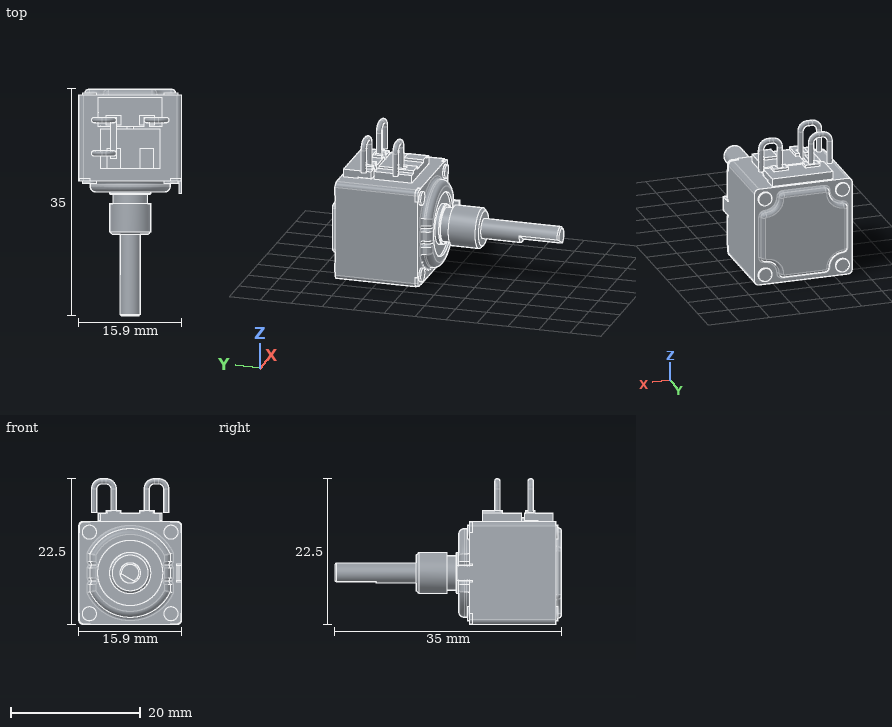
import cadquery as cq
import math


BODY_SIZE = 15.9
BODY_DEPTH = 13.33
BODY_CORNER = 0.75
HALF = BODY_SIZE / 2
CORNER_RECESS = 0.1
CORNER_RECESS_START = 6.23
PLATE_THICK = 0.45

FACE_TOLERANCE = 0.005

RIVET_OFFSET = 6.3
RIVET_RADIUS = 1.1
RIVET_HEIGHT = 0.3

DOME_RADIUS = 6.85
DOME_FLAT_X = 6.2
DOME_HEIGHT = 1.68
DOME_FLARE = 0.5
DOME_EDGE = 0.9
GROOVE_Z = 1.25
GROOVE_WIDTH = 1.0
GROOVE_DEPTH = 0.25
GROOVE_ROOT_X = 4.95
DISC_RADIUS = 5.05
DISC_DEPTH = 0.35

BUSHING_RADIUS = 3.2
NECK_RADIUS = 2.7
COLLAR_END = 2.05
COLLAR_CHAMFER = 0.15
NECK_END = 3.45
BUSHING_END = 8.22
BUSHING_CHAMFER = 0.42
SHAFT_RADIUS = 1.57
SHAFT_END = 20.78
SHAFT_CHAMFER = 0.25
SHAFT_FLAT_LENGTH = 6.35
SHAFT_FLAT_OFFSET = 0.8
SHAFT_FLAT_ANGLE = 30

TAB_WIDTH = 2.27
TAB_THICK = 0.45
TAB_LENGTH = 1.92
TAB_BEND = 0.28
TAB_RELIEF_WIDTH = 0.25
TAB_RELIEF_DEPTH = 0.85

BACK_HALF = 7.0
BACK_HEIGHT = 0.87
BACK_SCALLOP = 2.25
BACK_CORNER = BACK_HALF - RIVET_OFFSET
BACK_EDGE = 0.55
BACK_FLARE = 0.28

BLOCK_HEIGHT = 1.25
REAR_BLOCK_HALF = 4.93
REAR_BLOCK_Y = (8.45, 12.9)
FRONT_BLOCK_HALF = 4.58
FRONT_BLOCK_Y = (2.0, 8.05)
PAD_HEIGHT = 0.42
REAR_PAD_X = (1.4, 3.75)
REAR_PAD_Y = (8.68, 10.15)
FRONT_PAD_X = (1.5, 3.57)
FRONT_PAD_Y = (2.0, 5.07)
PEG_RADIUS = 0.52
UNDERCUT_Y = (8.45, 10.6)
UNDERCUT_HEIGHT = 0.17
UNDERCUT_DEPTH = 0.35

WIRE_RADIUS = 0.42
LOOP_BEND = 1.2
LOOP_SPAN = 3.0
LOOP_X = 4.05
LOOP_TOP = 22.53
LOOP_FREE_END_Z = 9.3
REAR_LOOP_Y = 9.45
FRONT_LOOP_Y = 4.3
SLOT_WIDTH = 0.9
LEFT_SLOT_FLOOR_Z = 8.55
SLOT_FRONT_Y = 3.5

BLOCK_TOP = HALF + BLOCK_HEIGHT
LOOP_INNER_X = LOOP_X - LOOP_SPAN / 2
RIGHT_SLOT_FLOOR_Z = HALF
LOOP_BEND_Z = LOOP_TOP - HALF - WIRE_RADIUS - LOOP_BEND


def box(x, y, z):
    """Box spanning the (low, high) ranges x, y and z."""
    size = (x[1] - x[0], y[1] - y[0], z[1] - z[0])
    return cq.Workplane("XY").box(*size, centered=False).translate((x[0], y[0], z[0]))


def facing_front(y):
    """Sketch plane whose local axes are X and Z and whose normal is -Y."""
    return cq.Workplane("XZ", origin=(0, y, 0))


def edges_at(y, reach):
    """Selector for the edges in the face at y, within reach of the shaft axis along X and Z."""
    low = (-reach, y - FACE_TOLERANCE, -reach)
    high = (reach, y + FACE_TOLERANCE, reach)
    return cq.selectors.BoxSelector(low, high)


def disc(radius, near, far):
    """Cylinder on the shaft axis between two distances in front of the housing."""
    return facing_front(-near).circle(radius).extrude(far - near)


def make_housing():
    body = facing_front(BODY_DEPTH).rect(BODY_SIZE, BODY_SIZE).extrude(BODY_DEPTH)
    body = body.edges("|Y").fillet(BODY_CORNER)
    rim = facing_front(PLATE_THICK).rect(BODY_SIZE, BODY_SIZE).extrude(PLATE_THICK)
    inset = BODY_SIZE - 2 * CORNER_RECESS
    core = facing_front(PLATE_THICK).rect(inset, inset).extrude(PLATE_THICK)
    core = core.edges("|Y").fillet(BODY_CORNER - CORNER_RECESS)
    rim = rim.cut(core)
    for sx in (-1, 1):
        for sz in (-1, 1):
            x = sorted((sx * CORNER_RECESS_START, sx * HALF))
            z = sorted((sz * CORNER_RECESS_START, sz * HALF))
            body = body.cut(rim.intersect(box(x, (0, PLATE_THICK), z)))
    return body


def make_rivets():
    spacing = 2 * RIVET_OFFSET
    length = BODY_DEPTH + 2 * RIVET_HEIGHT
    plane = facing_front(BODY_DEPTH + RIVET_HEIGHT)
    return plane.rect(spacing, spacing, forConstruction=True).vertices().circle(RIVET_RADIUS).extrude(length)


def dome_outline(y):
    """Circle with two flats."""
    corner_z = math.sqrt(DOME_RADIUS**2 - DOME_FLAT_X**2)
    sketch = facing_front(y).moveTo(-DOME_FLAT_X, corner_z)
    sketch = sketch.threePointArc((0, DOME_RADIUS), (DOME_FLAT_X, corner_z)).lineTo(DOME_FLAT_X, -corner_z)
    return sketch.threePointArc((0, -DOME_RADIUS), (-DOME_FLAT_X, -corner_z)).close()


def dome_flat_section(z, inset):
    """Section of the dome across its +X flat at height z, moved inwards by inset."""
    wall = DOME_FLAT_X - inset
    return (
        cq.Workplane("XY", origin=(0, 0, z))
        .moveTo(GROOVE_ROOT_X, 0)
        .lineTo(GROOVE_ROOT_X, -DOME_HEIGHT)
        .lineTo(wall - DOME_EDGE, -DOME_HEIGHT)
        .radiusArc((wall, DOME_EDGE - DOME_HEIGHT), -DOME_EDGE)
        .lineTo(wall, -DOME_FLARE)
        .radiusArc((wall + DOME_FLARE, 0), DOME_FLARE)
        .close()
        .wire()
        .val()
    )


def cut_dome_grooves(part):
    """Replace short stretches of both flats by a V-shaped dip of the same section."""
    half_width = GROOVE_WIDTH / 2
    for groove_z in (-GROOVE_Z, GROOVE_Z):
        ends = (groove_z - half_width, groove_z + half_width)
        middle = dome_flat_section(groove_z, GROOVE_DEPTH)
        window = box((GROOVE_ROOT_X, DOME_FLAT_X + DOME_FLARE), (-DOME_HEIGHT, 0), ends)
        part = part.cut(window).cut(window.mirror("YZ"))
        for end in ends:
            dip = cq.Workplane(cq.Solid.makeLoft([dome_flat_section(end, 0), middle], True))
            part = part.union(dip).union(dip.mirror("YZ"))
    return part


def add_dome(housing):
    """Raise the front dome, flare its foot into the housing and round its rim."""
    part = housing.union(dome_outline(0).extrude(DOME_HEIGHT))
    reach = DOME_RADIUS + DOME_FLARE
    part = part.edges(edges_at(0, reach)).fillet(DOME_FLARE)
    part = part.faces("<Y").edges().fillet(DOME_EDGE)
    part = cut_dome_grooves(part)
    return part.cut(disc(DISC_RADIUS, DOME_HEIGHT - DISC_DEPTH, DOME_HEIGHT))


def make_bushing_and_shaft():
    bushing = disc(BUSHING_RADIUS, NECK_END, BUSHING_END).faces("<Y").chamfer(BUSHING_CHAMFER)
    shaft = disc(SHAFT_RADIUS, 0, SHAFT_END).faces("<Y").chamfer(SHAFT_CHAMFER)
    flat = box(
        (-SHAFT_RADIUS, SHAFT_RADIUS),
        (-SHAFT_END, -SHAFT_END + SHAFT_FLAT_LENGTH),
        (-2 * SHAFT_RADIUS, -SHAFT_FLAT_OFFSET),
    )
    shaft = shaft.cut(flat.rotate((0, 0, 0), (0, 1, 0), SHAFT_FLAT_ANGLE))
    collar = disc(BUSHING_RADIUS, 0, COLLAR_END).faces("<Y").chamfer(COLLAR_CHAMFER)
    neck = disc(NECK_RADIUS, 0, NECK_END)
    return collar.union(neck).union(bushing).union(shaft)


def back_outline(y):
    """Square whose corners are concave arcs around the rivets, blended by convex arcs."""
    side_end = RIVET_OFFSET - BACK_SCALLOP - BACK_CORNER
    blend_end = side_end + BACK_CORNER
    blend_mid = BACK_CORNER * math.sqrt(0.5)
    scallop_mid = RIVET_OFFSET - BACK_SCALLOP * math.sqrt(0.5)
    corner = (
        (side_end, BACK_HALF),
        (side_end + blend_mid, RIVET_OFFSET + blend_mid),
        (blend_end, RIVET_OFFSET),
        (scallop_mid, scallop_mid),
        (RIVET_OFFSET, blend_end),
        (RIVET_OFFSET + blend_mid, side_end + blend_mid),
        (BACK_HALF, side_end),
    )
    sketch = facing_front(y).moveTo(-side_end, BACK_HALF)
    points = corner
    for _ in range(4):
        sketch = sketch.lineTo(*points[0])
        for middle, end in ((1, 2), (3, 4), (5, 6)):
            sketch = sketch.threePointArc(points[middle], points[end])
        points = [(z, -x) for x, z in points]
    return sketch.close()


def add_back_cover(housing):
    """Raise the back cover, flare its foot into the housing and round its rim."""
    part = housing.union(back_outline(BODY_DEPTH + BACK_HEIGHT).extrude(BACK_HEIGHT))
    reach = BACK_HALF + BACK_FLARE
    part = part.edges(edges_at(BODY_DEPTH, reach)).fillet(BACK_FLARE)
    return part.faces(">Y").edges().fillet(BACK_EDGE)


def make_tab():
    """Flat tab standing on the front face, with a rounded inner foot."""
    inner = HALF - TAB_THICK
    profile = (
        cq.Workplane("XY", origin=(0, 0, -TAB_WIDTH / 2))
        .moveTo(HALF, 0)
        .lineTo(HALF, -TAB_LENGTH)
        .lineTo(inner, -TAB_LENGTH)
        .lineTo(inner, -TAB_BEND)
        .radiusArc((inner - TAB_BEND, 0), TAB_BEND)
        .close()
    )
    return profile.extrude(TAB_WIDTH)


def make_tab_reliefs():
    """Notches in the front plate above and below the tab."""
    half_width = TAB_WIDTH / 2
    upper = box(
        (HALF - TAB_RELIEF_DEPTH, HALF),
        (0, PLATE_THICK),
        (half_width, half_width + TAB_RELIEF_WIDTH),
    )
    return upper.union(upper.mirror("XY"))


def make_terminal_blocks():
    block_z = (HALF, BLOCK_TOP)
    pad_z = (BLOCK_TOP, BLOCK_TOP + PAD_HEIGHT)
    blocks = box((-REAR_BLOCK_HALF, REAR_BLOCK_HALF), REAR_BLOCK_Y, block_z)
    for side in (-1, 1):
        x = sorted((side * (REAR_BLOCK_HALF - UNDERCUT_DEPTH), side * REAR_BLOCK_HALF))
        blocks = blocks.cut(box(x, UNDERCUT_Y, (HALF, HALF + UNDERCUT_HEIGHT)))
    blocks = blocks.union(box((-FRONT_BLOCK_HALF, FRONT_BLOCK_HALF), FRONT_BLOCK_Y, block_z))
    for pad_x, pad_y in ((REAR_PAD_X, REAR_PAD_Y), (FRONT_PAD_X, FRONT_PAD_Y)):
        pad = box(pad_x, pad_y, pad_z)
        blocks = blocks.union(pad).union(pad.mirror("YZ"))

    gap = REAR_BLOCK_Y[0] - FRONT_BLOCK_Y[1]
    peg = facing_front(REAR_BLOCK_Y[0]).center(0, HALF).circle(PEG_RADIUS).extrude(gap)
    return blocks.union(peg)


def add_wire_slots(blocks):
    """Slots for the wires; the left slot runs through both blocks over a strip in the gap."""
    slot_top = BLOCK_TOP + PAD_HEIGHT
    slot_back = REAR_LOOP_Y + WIRE_RADIUS
    slot_x = (LOOP_INNER_X - SLOT_WIDTH / 2, LOOP_INNER_X + SLOT_WIDTH / 2)
    right_slot = box(slot_x, (REAR_BLOCK_Y[0], slot_back), (RIGHT_SLOT_FLOOR_Z, slot_top))
    left_slot = box(slot_x, (SLOT_FRONT_Y, slot_back), (LEFT_SLOT_FLOOR_Z, slot_top)).mirror("YZ")
    strip = box(slot_x, (FRONT_BLOCK_Y[1], REAR_BLOCK_Y[0]), (HALF, LEFT_SLOT_FLOOR_Z)).mirror("YZ")
    return blocks.cut(right_slot).cut(left_slot).union(strip)


def make_wire_loop(y, side, floor_z):
    """Hairpin loop from its slot floor, over the top and down to a free end outside."""
    inner = LOOP_INNER_X
    outer = LOOP_INNER_X + LOOP_SPAN
    top_z = LOOP_BEND_Z + LOOP_BEND
    path = (
        cq.Workplane("XZ", origin=(0, y, 0))
        .moveTo(inner, floor_z)
        .lineTo(inner, LOOP_BEND_Z)
        .radiusArc((inner + LOOP_BEND, top_z), LOOP_BEND)
        .lineTo(outer - LOOP_BEND, top_z)
        .radiusArc((outer, LOOP_BEND_Z), LOOP_BEND)
        .lineTo(outer, LOOP_FREE_END_Z)
    )
    start = cq.Workplane("XY", origin=(inner, y, floor_z))
    loop = start.circle(WIRE_RADIUS).sweep(path)
    return loop if side > 0 else loop.mirror("YZ")


result = add_back_cover(add_dome(make_housing()))
result = result.union(make_rivets()).union(make_bushing_and_shaft())
result = result.cut(make_tab_reliefs()).union(make_tab())
result = result.union(add_wire_slots(make_terminal_blocks()))
result = result.union(make_wire_loop(REAR_LOOP_Y, 1, RIGHT_SLOT_FLOOR_Z))
for loop_y in (REAR_LOOP_Y, FRONT_LOOP_Y):
    result = result.union(make_wire_loop(loop_y, -1, LEFT_SLOT_FLOOR_Z))